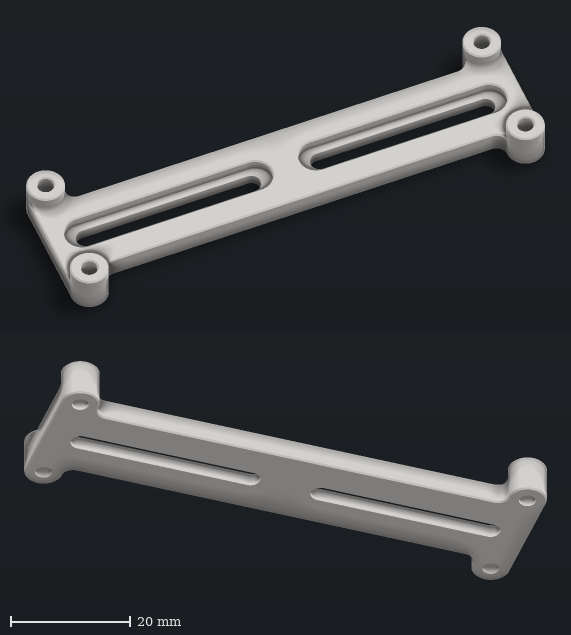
import cadquery as cq
import math

overall_width = 25.6
overall_length = 85.9
overall_height = 7.0
plate_thickness = 3.95
plate_width = 15.0
plate_inset = 0.02
edge_chamfer = 0.3

boss_diameter = 6.5
boss_hole_diameter = 2.8
boss_root_fillet = 1.0
neck_fillet = 2.0

slot_center_y = 21.3
slot_width = 3.35
slot_length = 33.5
recess_width = 6.1
recess_length = 37.5
recess_depth = 2.0

half_length = overall_length / 2
half_plate = plate_width / 2
boss_radius = boss_diameter / 2
boss_x = overall_width / 2 - boss_radius
boss_y = half_length - boss_radius
corner_radius = boss_radius - plate_inset
plate_end_y = boss_y + corner_radius
boss_centers = [(sx * boss_x, sy * boss_y) for sx in (-1, 1) for sy in (-1, 1)]
slot_centers = [(0, -slot_center_y), (0, slot_center_y)]


def plate_outline():
    """Closed outline of the plate: straight ends, round corners inside the bosses, filleted necks."""
    neck_x = half_plate + neck_fillet
    center_distance = corner_radius + neck_fillet
    neck_y = boss_y - math.sqrt(center_distance**2 - (boss_x - neck_x) ** 2)
    touch_x = boss_x + (neck_x - boss_x) * corner_radius / center_distance
    touch_y = boss_y + (neck_y - boss_y) * corner_radius / center_distance

    start_angle = math.pi
    end_angle = math.atan2(boss_y - neck_y, boss_x - neck_x)
    mid_angle = (start_angle + end_angle) / 2
    mid_x = neck_x + neck_fillet * math.cos(mid_angle)
    mid_y = neck_y + neck_fillet * math.sin(mid_angle)

    return (
        cq.Workplane("XY")
        .moveTo(0, -plate_end_y)
        .lineTo(boss_x, -plate_end_y)
        .threePointArc((boss_x + corner_radius, -boss_y), (touch_x, -touch_y))
        .threePointArc((mid_x, -mid_y), (half_plate, -neck_y))
        .lineTo(half_plate, neck_y)
        .threePointArc((mid_x, mid_y), (touch_x, touch_y))
        .threePointArc((boss_x + corner_radius, boss_y), (boss_x, plate_end_y))
        .lineTo(0, plate_end_y)
        .mirrorY()
    )


def plate():
    """Flat plate, chamfered all round at the top and the bottom."""
    return plate_outline().extrude(plate_thickness).faces("<Z or >Z").edges().chamfer(edge_chamfer)


def bosses():
    """Four round bosses of full height, chamfered at the top and the bottom."""
    return (
        cq.Workplane("XY")
        .pushPoints(boss_centers)
        .circle(boss_radius)
        .extrude(overall_height)
        .faces("<Z or >Z")
        .edges()
        .chamfer(edge_chamfer)
    )


def boss_root_flares():
    """Concave flares at the foot of the bosses, kept to the flat top of the plate."""
    base_z = plate_thickness - edge_chamfer
    top_z = plate_thickness + boss_root_fillet
    outer_radius = boss_radius + boss_root_fillet
    arc_inset = boss_root_fillet * (1 - math.sqrt(0.5))
    flare = (
        cq.Workplane("XZ")
        .moveTo(0, base_z)
        .lineTo(outer_radius, base_z)
        .lineTo(outer_radius, plate_thickness)
        .threePointArc((boss_radius + arc_inset, plate_thickness + arc_inset), (boss_radius, top_z))
        .lineTo(0, top_z)
        .close()
        .revolve(360, (0, 0, 0), (0, 1, 0))
    )
    flares = cq.Workplane("XY")
    for x, y in boss_centers:
        flares = flares.add(flare.translate((x, y, 0)))
    flat_top_area = plate_outline().offset2D(-edge_chamfer).extrude(top_z)
    return flares.combine().intersect(flat_top_area)


def boss_holes():
    """Through holes in the bosses, with a chamfered mouth at the top."""
    hole_radius = boss_hole_diameter / 2
    hole = cq.Workplane("XY").circle(hole_radius).extrude(overall_height)
    mouth = (
        cq.Workplane("XY", origin=(0, 0, overall_height))
        .circle(hole_radius + edge_chamfer)
        .workplane(offset=-edge_chamfer)
        .circle(hole_radius)
        .loft()
    )
    cutter = hole.union(mouth)
    cutters = cq.Workplane("XY")
    for x, y in boss_centers:
        cutters = cutters.add(cutter.translate((x, y, 0)))
    return cutters.combine()


def slot_prism(length, width, bottom_z):
    """A round-ended slot along Y at both slot places, from bottom_z up to the plate top."""
    return (
        cq.Workplane("XY", origin=(0, 0, bottom_z))
        .pushPoints(slot_centers)
        .slot2D(length, width, 90)
        .extrude(plate_thickness - bottom_z)
    )


def recesses():
    """Shallow recesses around the slots, with a chamfered upper rim."""
    recess = slot_prism(recess_length, recess_width, plate_thickness - recess_depth)
    rim = (
        cq.Workplane("XY", origin=(0, 0, plate_thickness))
        .pushPoints(slot_centers)
        .slot2D(recess_length + 2 * edge_chamfer, recess_width + 2 * edge_chamfer, 90)
        .extrude(-edge_chamfer, taper=45)
    )
    return recess.union(rim)


result = plate().union(bosses()).union(boss_root_flares())
result = result.cut(boss_holes())
result = result.cut(slot_prism(slot_length, slot_width, 0))
result = result.cut(recesses())